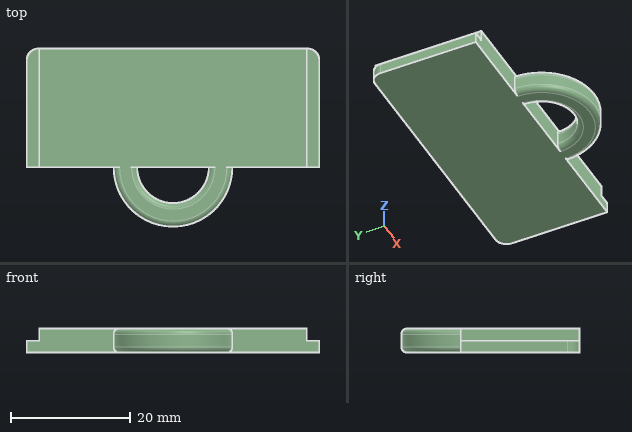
import cadquery as cq

plate_width = 49.2
plate_depth = 19.98
thickness = 4.1
ledge_width = 2.1
ledge_height = 2.0
corner_radius = 2.05

loop_outer_radius = 10.0
loop_inner_radius = 6.0
loop_edge_radius = 1.0


def make_plate():
    """Base layer with rounded rear corners, carrying the raised centre layer."""
    centered_in_x = (True, False, False)
    base = (
        cq.Workplane("XY")
        .box(plate_width, plate_depth, ledge_height, centered=centered_in_x)
        .edges("|Z and >Y")
        .fillet(corner_radius)
    )
    raised_width = plate_width - 2 * ledge_width
    raised = cq.Workplane("XY").box(raised_width, plate_depth, thickness, centered=centered_in_x)
    return base.union(raised)


def make_loop():
    """Front half of a ring whose circular edges are all rounded."""
    ring = (
        cq.Workplane("XY")
        .circle(loop_outer_radius)
        .circle(loop_inner_radius)
        .extrude(thickness)
        .edges("%CIRCLE")
        .fillet(loop_edge_radius)
    )
    front_half = (
        cq.Workplane("XY")
        .box(2 * loop_outer_radius, loop_outer_radius, thickness, centered=(True, False, False))
        .translate((0, -loop_outer_radius, 0))
    )
    return ring.intersect(front_half)


result = make_plate().union(make_loop())